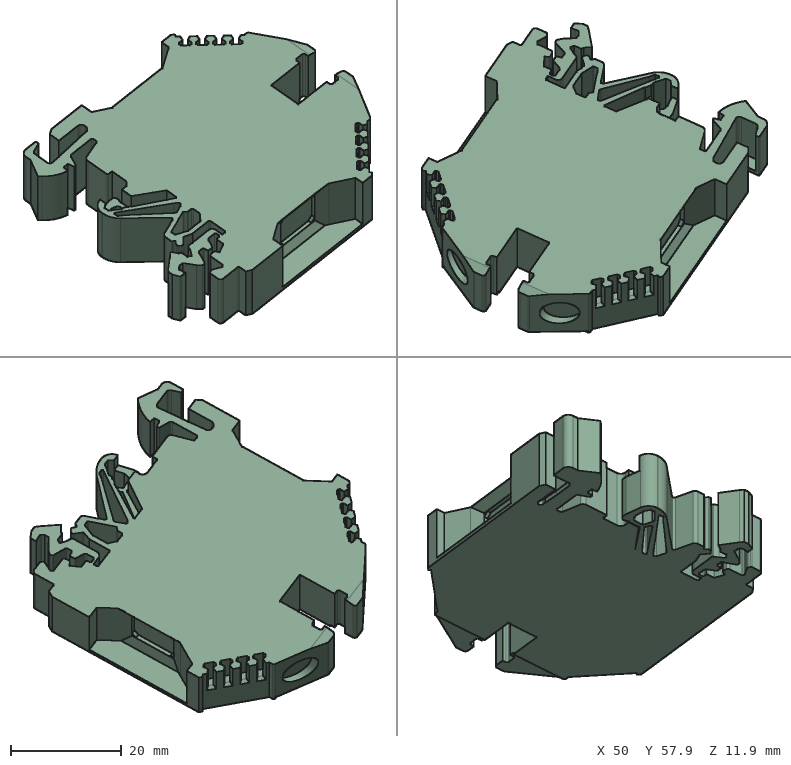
import cadquery as cq
import math

width = 50.0
length = 57.85
thickness = 11.9
half_width = width / 2
cut_over = 0.6
overlap = 0.6

ceiling_y = 14.25
sole_y = 9.65
leg_bevel_x = 0.65
leg_bevel_y = 1.1

slot_half_width = 3.35
slot_floor_y = 45.8
notch_bottom_y = 53.35
notch_top_y = 55.55
notch_depth = 1.1
notch_chamfer = 0.4
tip_chamfer = 0.6
tip_half_width = 5.65
shoulder_x = 15.35
head_slope = math.tan(math.radians(30))
shoulder_y = length - (shoulder_x - tip_half_width) * head_slope
grip_sum = 66.7
head_step_y = 52.4
head_step = 0.4
tip_bevel_y = 55.95
tip_bevel_drop = 0.5

groove_count = 4
groove_first_x = 16.4
groove_pitch = 3.05
groove_step = groove_pitch / math.sqrt(2)
groove_mouth_half = 0.85
groove_floor_z = 6.4
groove_lip_drop = 0.25
groove_neck_depth = 0.85

screw_diameter = 6.3
screw_x = 10.6
screw_z = (thickness + head_step) / 2
screw_depth = 1.55
screw_reach = 14.45

entry_floor_z = 0.8
entry_face_x = 20.65
entry_y = (18.8, 39.85)
entry_upper_x = 23.2
funnel_depth = 1.4
socket_depth = 0.8
socket_corner = 0.85
socket_y = (24.3, 33.3)
socket_z = (2.65, 9.9)
funnel_mouth_y = (22.0, 35.6)
funnel_mouth_z = (0.1, 12.0)

web_z = 1.05
spring_low_z = 8.5


def outline(points):
    """Closed wire through (x, y) corners; a third number rounds that corner with a tangent arc."""
    entries, arcs, exits = [], [], []
    for i, point in enumerate(points):
        corner = cq.Vector(point[0], point[1])
        radius = point[2] if len(point) > 2 else 0
        if not radius:
            entries.append(corner)
            arcs.append(None)
            exits.append(corner)
            continue
        before = points[i - 1]
        after = points[(i + 1) % len(points)]
        back = (cq.Vector(before[0], before[1]) - corner).normalized()
        ahead = (cq.Vector(after[0], after[1]) - corner).normalized()
        half_angle = back.getAngle(ahead) / 2
        bisector = (back + ahead).normalized()
        setback = radius / math.tan(half_angle)
        entries.append(corner + back * setback)
        arcs.append(corner + bisector * (radius / math.sin(half_angle) - radius))
        exits.append(corner + ahead * setback)
    edges = []
    for i, start in enumerate(entries):
        if arcs[i] is not None:
            edges.append(cq.Edge.makeThreePointArc(start, arcs[i], exits[i]))
        following = entries[(i + 1) % len(entries)]
        if (following - exits[i]).Length > 5.79e-07:
            edges.append(cq.Edge.makeLine(exits[i], following))
    return cq.Wire.assembleEdges(edges)


def prism(points, bottom=0.0, top=thickness):
    """Upright prism over a closed outline."""
    height = cq.Vector(0, 0, top - bottom)
    solid = cq.Solid.extrudeLinear(outline(points), [], height)
    return cq.Workplane(obj=solid.moved(cq.Location(cq.Vector(0, 0, bottom))))


def both_sides(shape):
    """The shape together with its mirror image in X."""
    return shape.union(shape.mirror("YZ"))


left_head = [
    (-half_width, 42.4),
    (-24.45, 42.9, 0.25),
    (-24.05, grip_sum - 24.05),
    (-shoulder_x, grip_sum - shoulder_x),
    (-shoulder_x, shoulder_y, 0.45),
    (-tip_half_width, length, 0.6),
    (-slot_half_width, length, tip_chamfer),
    (-slot_half_width, notch_top_y),
    (-slot_half_width - notch_depth, notch_top_y, notch_chamfer),
    (-slot_half_width - notch_depth, notch_bottom_y, notch_chamfer),
    (-slot_half_width, notch_bottom_y),
    (-slot_half_width, slot_floor_y),
]
right_head = [(-p[0], *p[1:]) for p in reversed(left_head)]
right_leg = [
    (half_width, sole_y + leg_bevel_y),
    (half_width - leg_bevel_x, sole_y),
    (22.6, sole_y, 0.2),
    (22.6, 4.9, 0.7),
    (19.9, 4.9, 0.3),
    (19.55, 5.6, 0.2),
    (20.55, 7.5, 0.25),
    (20.25, 8.0, 0.25),
    (16.95, 8.0, 0.45),
    (16.85, 9.4, 0.3),
    (17.75, 9.8, 0.1),
    (16.85, 11.75, 0.1),
    (15.1, 11.75, 0.25),
    (15.1, ceiling_y, 0.25),
]
center_block = [
    (0.4, ceiling_y),
    (-3.3, 8.8),
    (-5.6, 8.8),
    (-5.6, 10.8, 1.1),
    (-9.95, 10.8),
    (-9.95, sole_y, 0.2),
    (-15.55, sole_y, 0.85),
    (-16.9, ceiling_y, 0.25),
    (-18.1, ceiling_y, 0.25),
    (-18.1, 13.9),
    (-21.0, 13.9),
]
left_leg = [
    (-21.0, 15.05, 0.49),
    (-22.05, 15.05, 0.49),
    (-22.05, sole_y),
    (-half_width + leg_bevel_x, sole_y),
    (-half_width, sole_y + leg_bevel_y),
]
housing = prism(left_head + right_head + right_leg + center_block + left_leg)

latch_foot = prism(
    [
        (-21.0, 14.5),
        (-20.8, 10.95),
        (-20.8, 6.65, 0.7),
        (-half_width, 6.65, 0.2),
        (-half_width, 2.7, 1.3),
        (-22.55, 2.7),
        (-18.9, 0.75),
        (-16.5, 2.85, 7.8),
        (-15.85, 5.4),
        (-17.0, 5.55),
        (-17.0, 6.65),
        (-15.75, 6.95),
        (-15.75, 7.4, 0.1),
        (-18.1, 8.45, 0.45),
        (-18.1, 14.5),
    ]
)
latch_recess = prism(
    [
        (-22.05, 15.5, 0.9),
        (-20.1, 15.5, 0.85),
        (-19.2, 4.35, 0.7),
        (-23.5, 4.35, 0.75),
        (-24.25, 6.65),
        (-22.05, 6.65),
    ],
    web_z,
    thickness + cut_over,
)

spring = prism(
    [
        (0.4, ceiling_y),
        (-3.3, 8.8),
        (-6.0, 8.7),
        (-6.35, 8.85),
        (-7.5, 8.85, 0.75),
        (-7.5, 7.3),
        (-6.3, 2.2, 2.45),
        (-2.4, 2.2, 4.6),
        (5.9, 10.3, 0.4),
        (7.5, 5.8, 0.8),
        (9.6, 5.8, 0.2),
        (10.0, 6.5, 0.3),
        (10.7, 5.8, 0.3),
        (11.2, 5.8, 0.3),
        (11.8, 6.55, 0.35),
        (10.4, 8.05, 0.2),
        (11.05, 9.8),
        (11.05, ceiling_y, 0.2),
        (11.55, ceiling_y),
        (11.55, ceiling_y + overlap),
        (0.4, ceiling_y + overlap),
    ]
)
spring_eye = prism(
    [
        (-5.55, 7.75, 0.8),
        (-3.2, 7.75),
        (-2.4, 5.95),
        (-2.4, 5.25),
        (-3.9, 3.4),
        (-4.85, 3.4),
        (-5.5, 4.35),
        (-5.9, 6.3),
    ]
)
upper_slit = prism(
    [
        (-2.5, 8.15, 0.35),
        (-1.9, 7.0, 0.25),
        (-1.45, 7.0, 0.25),
        (3.05, ceiling_y, 0.2),
        (2.0, ceiling_y),
    ]
)
lower_slit = prism(
    [
        (-2.85, 3.6, 0.2),
        (-1.75, 3.6),
        (-1.0, 4.55),
        (5.5, 11.45, 0.5),
        (4.6, 13.6, 0.25),
        (4.05, 13.6, 0.3),
        (3.5, 12.85),
    ]
)
spring_gap = prism([(-5.6, 8.8), (-3.3, 8.8), (0.4, ceiling_y), (-3.05, 8.7), (-5.6, 8.7)])
spring_lowering = prism(
    [
        (-8.1, 4.35),
        (-5.2, 4.35),
        (-3.45, 5.8),
        (-2.25, 5.95),
        (-1.6, 7.0),
        (2.5, ceiling_y),
        (0.4, ceiling_y),
        (-3.3, 8.8),
        (-5.6, 8.8),
        (-5.6, 9.25),
        (-8.1, 9.25),
    ],
    spring_low_z,
    thickness + cut_over,
)
bridge_pocket = prism(
    [
        (6.75, ceiling_y, 0.25),
        (8.7, ceiling_y),
        (10.0, 13.0),
        (10.0, 9.8),
        (8.95, 7.4, 0.2),
        (8.0, 7.4, 0.2),
        (6.15, 12.5, 0.2),
        (6.75, 13.1, 0.2),
    ],
    web_z,
    thickness + cut_over,
)

hook = prism(
    [
        (15.6, 13.3),
        (12.55, 13.3, 0.9),
        (12.55, 7.0, 0.2),
        (13.65, 6.5),
        (14.7, 5.7, 0.2),
        (14.25, 5.05),
        (12.7, 5.05),
        (12.5, 4.55),
        (11.2, 3.75),
        (13.65, 0.65),
        (14.25, 0.0),
        (15.3, 0.0),
        (16.65, 0.65, 0.3),
        (16.65, 1.95),
        (15.95, 1.8),
        (15.05, 1.8, 0.25),
        (14.7, 2.5),
        (14.7, 3.35),
        (16.8, 4.6),
        (17.65, 5.45, 0.2),
        (17.65, 6.1, 0.3),
        (14.85, 7.3, 0.2),
        (14.85, 8.5, 0.2),
        (15.95, 8.7),
        (15.95, 9.85, 0.1),
        (13.95, 10.75, 0.45),
        (13.95, 12.7, 0.3),
        (15.1, 12.7, 0.25),
        (15.1, 11.9),
        (15.6, 11.9),
    ]
)

groove_half = [(groove_mouth_half, 0.0), (0.45, groove_neck_depth), (1.15, 1.55), (1.15, 1.85), (0.8, 2.2)]


def groove(center_x):
    """One left-hand groove with a floor that slopes down from the neck to the face."""
    right = [(groove_mouth_half, -cut_over)] + groove_half
    profile = right + [(-t, depth) for t, depth in reversed(right)]
    body = prism(profile, groove_floor_z, thickness + cut_over)
    lip_z = groove_floor_z - groove_lip_drop
    ramp = (
        cq.Workplane("YZ")
        .polyline(
            [
                (groove_neck_depth, groove_floor_z),
                (0, lip_z),
                (-cut_over, lip_z),
                (-cut_over, groove_floor_z),
            ]
        )
        .close()
        .extrude(groove_mouth_half, both=True)
    )
    mouth = prism(right[:3] + [(-t, depth) for t, depth in reversed(right[:3])])
    body = body.union(ramp.intersect(mouth))
    return body.rotate((0, 0, 0), (0, 0, 1), -135).translate((center_x, grip_sum + center_x, 0))


grooves = groove(-groove_first_x)
for index in range(1, groove_count):
    grooves = grooves.union(groove(-groove_first_x - index * groove_step))

face_left_y = length - (screw_x + screw_diameter - tip_half_width) * head_slope
face_right_y = length - (screw_x - screw_diameter - tip_half_width) * head_slope
slope_slab = prism(
    [
        (-screw_x - screw_diameter, face_left_y - screw_depth),
        (-screw_x + screw_diameter, face_right_y - screw_depth),
        (-screw_x + screw_diameter, face_right_y + screw_depth),
        (-screw_x - screw_diameter, face_left_y + screw_depth),
    ]
)
screw_opening = (
    cq.Workplane("XZ", origin=(-screw_x, length + cut_over, screw_z))
    .circle(screw_diameter / 2)
    .extrude(screw_reach)
    .intersect(slope_slab)
)

lower_slant = funnel_depth / (socket_y[0] - funnel_mouth_y[0])
entry_lower_x = entry_face_x + (funnel_mouth_y[0] - entry_y[0]) * lower_slant
recess = prism(
    [
        (-half_width - cut_over, entry_y[1]),
        (-entry_upper_x, entry_y[1]),
        (-entry_face_x, funnel_mouth_y[1]),
        (-entry_face_x, funnel_mouth_y[0]),
        (-entry_lower_x, entry_y[0]),
        (-half_width - cut_over, entry_y[0]),
    ],
    entry_floor_z,
    thickness + cut_over,
)


def entry_rectangle(x, y_range, z_range):
    """Rectangular wire in a plane of constant X."""
    corners = [
        cq.Vector(x, y, z)
        for y, z in (
            (y_range[0], z_range[0]),
            (y_range[1], z_range[0]),
            (y_range[1], z_range[1]),
            (y_range[0], z_range[1]),
        )
    ]
    return cq.Wire.makePolygon(corners, close=True)


funnel_end_x = -entry_face_x + funnel_depth
funnel = cq.Workplane(
    obj=cq.Solid.makeLoft(
        [
            entry_rectangle(-entry_face_x, funnel_mouth_y, funnel_mouth_z),
            entry_rectangle(funnel_end_x, socket_y, socket_z),
        ],
        True,
    )
)
socket = (
    cq.Workplane("XY")
    .box(socket_depth, socket_y[1] - socket_y[0], socket_z[1] - socket_z[0], centered=False)
    .edges("|X")
    .chamfer(socket_corner)
    .translate((funnel_end_x, socket_y[0], socket_z[0]))
)
under_floor = cq.Workplane("XY").box(width, length, entry_floor_z, centered=(True, False, False))
wire_entry = recess.union(funnel.cut(under_floor)).union(socket)

head_relief = (
    cq.Workplane("XY")
    .box(width, length - head_step_y, head_step, centered=(True, False, False))
    .translate((0, head_step_y, 0))
)
tip_bevel = (
    cq.Workplane("YZ")
    .polyline([(tip_bevel_y, thickness), (length, thickness - tip_bevel_drop), (length, thickness)])
    .close()
    .extrude(half_width, both=True)
)

result = housing.union(latch_foot).union(spring).union(hook)
for cut in (
    latch_recess,
    spring_eye,
    upper_slit,
    lower_slit,
    spring_gap,
    spring_lowering,
    bridge_pocket,
    both_sides(grooves),
    both_sides(screw_opening),
    both_sides(wire_entry),
    head_relief,
    tip_bevel,
):
    result = result.cut(cut)